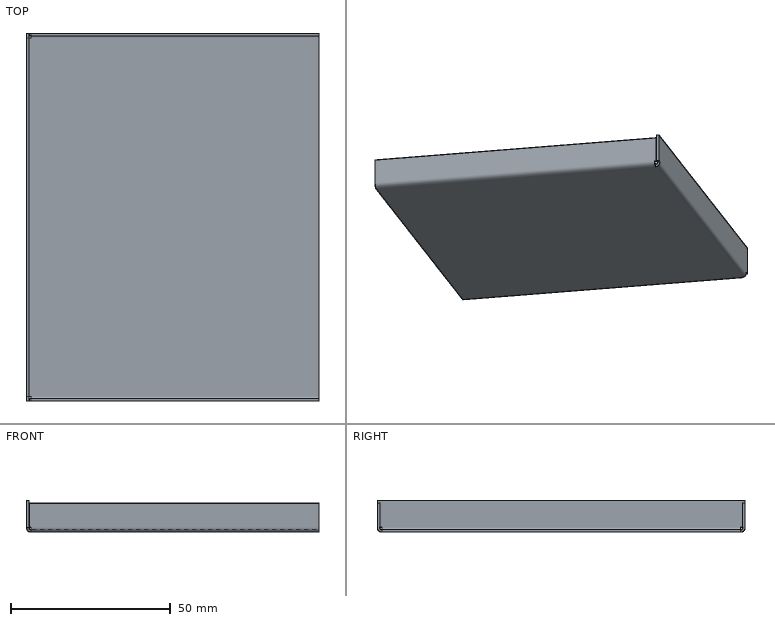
import cadquery as cq

length = 91.6
width = 115.2
end_height = 10.0
thickness = 0.8
inner_radius = 0.6
corner_gap = 0.1
relief_rise = 0.1

bend_radius = inner_radius + thickness
side_height = end_height - thickness - corner_gap
relief_top = bend_radius + relief_rise
x_end = -length / 2
x_open = length / 2
y_side = width / 2
x_bend = x_end + bend_radius
x_side_start = x_end + thickness + corner_gap
floor_length = x_open - x_bend
floor_width = width - 2 * bend_radius


def box_between(low, high):
    """Box spanned by two opposite corners."""
    sizes = [b - a for a, b in zip(low, high)]
    return cq.Workplane("XY").box(*sizes, centered=False).translate(low)


def bend(run):
    """Quarter-round bend along +Y, outer face toward -X, its bounding corner at the origin."""
    ring = (
        cq.Workplane("XZ")
        .center(bend_radius, bend_radius)
        .circle(bend_radius)
        .circle(inner_radius)
        .extrude(-run)
    )
    quarter = box_between((0, 0, 0), (bend_radius, run, bend_radius))
    return ring.intersect(quarter)


def make_floor():
    return box_between(
        (x_bend, -floor_width / 2, 0),
        (x_open, floor_width / 2, thickness),
    )


def make_end_flange():
    """Flange over the full width, with its bend only as wide as the floor."""
    wall = box_between(
        (x_end, -y_side, relief_top),
        (x_end + thickness, y_side, end_height),
    )
    wall_foot = box_between(
        (x_end, -floor_width / 2, bend_radius),
        (x_end + thickness, floor_width / 2, relief_top),
    )
    end_bend = bend(floor_width).translate((x_end, -floor_width / 2, 0))
    return wall.union(wall_foot).union(end_bend)


def make_side_flange():
    """Flange on the -Y side; its wall reaches past its bend toward the end flange."""
    wall = box_between(
        (x_side_start, -y_side, relief_top),
        (x_open, -y_side + thickness, side_height),
    )
    wall_foot = box_between(
        (x_bend, -y_side, bend_radius),
        (x_open, -y_side + thickness, relief_top),
    )
    side_bend = (
        bend(floor_length)
        .rotate((0, 0, 0), (0, 0, 1), 90)
        .translate((x_open, -y_side, 0))
    )
    return wall.union(wall_foot).union(side_bend)


side_flange = make_side_flange()
result = (
    make_floor()
    .union(make_end_flange())
    .union(side_flange)
    .union(side_flange.mirror("XZ"))
)